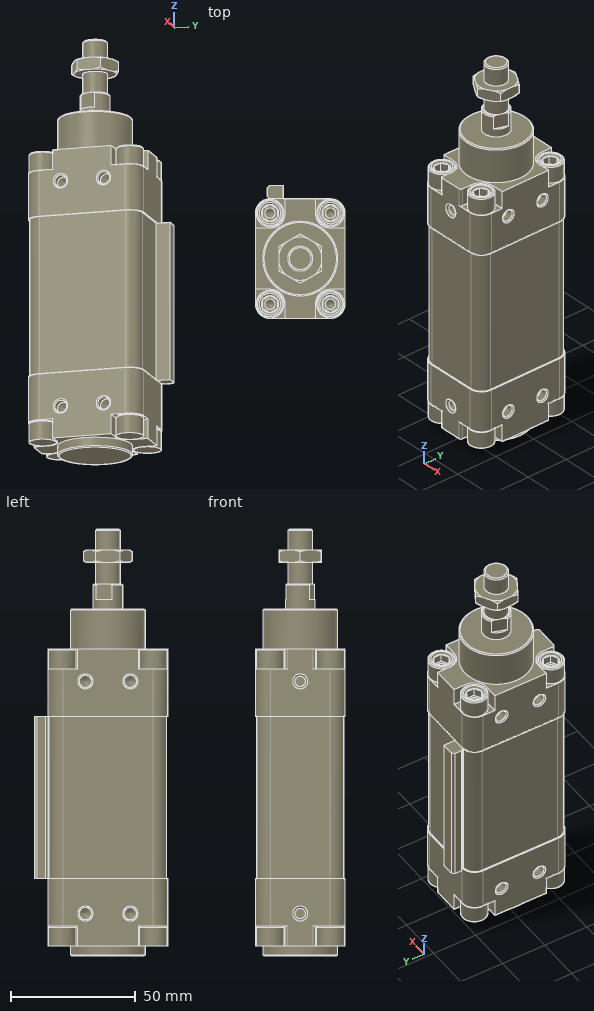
import cadquery as cq
import math

body_width = 36.0
body_length = 48.0
corner_radius = 6.0
tube_inset = 0.5

rear_collar_height = 4.0
cap_height = 27.0
tube_height = 65.0
front_collar_height = 16.0
rod_shank_height = 10.0
rod_thread_length = 22.0

collar_diameter = 30.0
collar_chamfer = 0.5

screw_x = 12.1
screw_y = 18.25
head_diameter = 11.05
head_chamfer = 0.5
pocket_depth = 8.0
pocket_radius = 6.0
pocket_edge_round = 0.9
socket_mouth_diameter = 8.6
socket_across_flats = 6.0
socket_depth = 4.5
socket_tip_diameter = 4.13

hole_to_tube = 14.0
hole_diameter = 6.0
port_core_diameter = 4.13
port_depth = 8.0
side_hole_spacing = 18.0
side_hole_core_diameter = 4.92
side_hole_depth = 4.0
drill_half_angle = math.radians(59)

rail_left = -13.3
rail_right = -6.8
rail_top = 29.3
rail_chamfer = 1.0
rail_underside = 24.0

rod_diameter = 12.0
thread_diameter = 10.0
thread_chamfer = 0.6
shoulder_chamfer = 0.5
flats_across = 10.0
flats_height = 6.3
flats_angle = 18.0
nut_across_flats = 17.0
nut_height = 5.0
nut_below_rod_end = 13.4
nut_chamfer_diameter = 17.4
nut_chamfer_angle = math.radians(30)

rear_face = rear_collar_height
tube_bottom = rear_face + cap_height
tube_top = tube_bottom + tube_height
front_face = tube_top + cap_height
front_collar_top = front_face + front_collar_height
shoulder = front_collar_top + rod_shank_height
rod_end = shoulder + rod_thread_length

corners = [(sx, sy) for sx in (-1, 1) for sy in (-1, 1)]


def rounded_block(width, length, radius, bottom, height):
    """Block centred on the axis with rounded vertical edges."""
    block = cq.Workplane("XY").workplane(offset=bottom).rect(width, length).extrude(height)
    return block.edges("|Z").fillet(radius)


def disc(diameter, bottom, height, x=0, y=0):
    """Upright cylinder standing at the given level."""
    return cq.Workplane("XY").workplane(offset=bottom).center(x, y).circle(diameter / 2).extrude(height)


def corner_pocket(sx, sy, bottom):
    """Recess in one corner of a cap, rounded around the screw head."""
    inner_x = screw_x - pocket_radius
    inner_y = screw_y - pocket_radius
    outer_x = body_width / 2
    outer_y = body_length / 2
    outline = (
        cq.Workplane("XY").workplane(offset=bottom)
        .moveTo(sx * outer_x, sy * inner_y)
        .lineTo(sx * screw_x, sy * inner_y)
        .radiusArc((sx * inner_x, sy * screw_y), sx * sy * pocket_radius)
    )
    if sy < 0:
        outline = (
            outline
            .lineTo(sx * inner_x, sy * (outer_y - pocket_edge_round))
            .radiusArc((sx * (inner_x - pocket_edge_round), sy * outer_y), sx * pocket_edge_round)
        )
    else:
        outline = outline.lineTo(sx * inner_x, sy * outer_y)
    return outline.lineTo(sx * outer_x, sy * outer_y).close().extrude(pocket_depth)


def screw_head(sx, sy, bottom):
    """Round screw head filling the depth of a corner pocket, chamfered at its top."""
    head = disc(head_diameter, bottom, pocket_depth, sx * screw_x, sy * screw_y)
    return head.faces(">Z").chamfer(head_chamfer)


def screw_socket(sx, sy, top):
    """Cutter for a countersunk hexagon socket ending in a cone."""
    x = sx * screw_x
    y = sy * screw_y
    hex_diameter = socket_across_flats / math.cos(math.pi / 6)
    mouth_depth = (socket_mouth_diameter - hex_diameter) / 2
    tip_depth = socket_tip_diameter / 2 / math.tan(drill_half_angle)
    socket = (
        cq.Workplane("XY").workplane(offset=top - socket_depth)
        .polygon(6, hex_diameter).extrude(socket_depth)
        .rotate((0, 0, 0), (0, 0, 1), 30).translate((x, y, 0))
    )
    up = cq.Vector(0, 0, 1)
    mouth = cq.Solid.makeCone(
        hex_diameter / 2, socket_mouth_diameter / 2, mouth_depth, cq.Vector(x, y, top - mouth_depth), up)
    tip = cq.Solid.makeCone(
        0, socket_tip_diameter / 2, tip_depth, cq.Vector(x, y, top - socket_depth - tip_depth), up)
    return socket.union(cq.Workplane(mouth)).union(cq.Workplane(tip))


def chamfered_hole(start, direction, core_diameter, depth, pointed):
    """Cutter for a blind hole with a 45 degree mouth, optionally ending in a drill point."""
    core_radius = core_diameter / 2
    mouth_radius = hole_diameter / 2
    tool = cq.Workplane(cq.Solid.makeCylinder(core_radius, depth, start, direction))
    mouth = cq.Solid.makeCone(mouth_radius, core_radius, mouth_radius - core_radius, start, direction)
    tool = tool.union(cq.Workplane(mouth))
    if pointed:
        tip_length = core_radius / math.tan(drill_half_angle)
        tip = cq.Solid.makeCone(core_radius, 0, tip_length, start + direction * depth, direction)
        tool = tool.union(cq.Workplane(tip))
    return tool


def sensor_rail():
    """Rail along the tube with its two left edges chamfered."""
    neck_left = rail_left + rail_chamfer
    return (
        cq.Workplane("XY").workplane(offset=tube_bottom)
        .moveTo(rail_right, body_length / 2 - 2 * tube_inset)
        .lineTo(rail_right, rail_top)
        .lineTo(neck_left, rail_top)
        .lineTo(rail_left, rail_top - rail_chamfer)
        .lineTo(rail_left, rail_underside + rail_chamfer)
        .lineTo(neck_left, rail_underside)
        .lineTo(neck_left, body_length / 2 - 2 * tube_inset)
        .close().extrude(tube_height)
    )


def make_housing():
    """Tube, both end caps, collars, screw heads and sensor rail."""
    tube_width = body_width - 2 * tube_inset
    tube_length = body_length - 2 * tube_inset
    housing = rounded_block(
        tube_width, tube_length, corner_radius - tube_inset, tube_bottom, tube_height)
    housing = housing.union(sensor_rail())
    for bottom in (rear_face, tube_top):
        housing = housing.union(
            rounded_block(body_width, body_length, corner_radius, bottom, cap_height))

    for pocket_bottom in (rear_face, front_face - pocket_depth):
        for sx, sy in corners:
            housing = housing.cut(corner_pocket(sx, sy, pocket_bottom))
            housing = housing.union(screw_head(sx, sy, pocket_bottom))
    for sx, sy in corners:
        housing = housing.cut(screw_socket(sx, sy, front_face))

    rear_collar = disc(collar_diameter, 0, rear_collar_height).faces("<Z").chamfer(collar_chamfer)
    front_collar = disc(collar_diameter, front_face, front_collar_height).faces(">Z").chamfer(collar_chamfer)
    housing = housing.union(rear_collar).union(front_collar)

    for z in (tube_bottom - hole_to_tube, tube_top + hole_to_tube):
        port_start = cq.Vector(0, -body_length / 2, z)
        housing = housing.cut(
            chamfered_hole(port_start, cq.Vector(0, 1, 0), port_core_diameter, port_depth, False))
        for side in (-1, 1):
            for row in (-1, 1):
                start = cq.Vector(side * body_width / 2, row * side_hole_spacing / 2, z)
                inward = cq.Vector(-side, 0, 0)
                housing = housing.cut(
                    chamfered_hole(start, inward, side_hole_core_diameter, side_hole_depth, True))
    return housing


def make_rod():
    """Stepped piston rod with two wrench flats below the shoulder."""
    shank = disc(rod_diameter, front_collar_top, rod_shank_height).faces(">Z").chamfer(shoulder_chamfer)
    thread = disc(thread_diameter, shoulder, rod_thread_length).faces(">Z").chamfer(thread_chamfer)
    flat_depth = (rod_diameter - flats_across) / 2
    flat_centre = (flats_across + flat_depth) / 2
    flats = (
        cq.Workplane("XY").workplane(offset=shoulder - flats_height)
        .pushPoints([(-flat_centre, 0), (flat_centre, 0)])
        .rect(flat_depth, rod_diameter).extrude(flats_height)
        .rotate((0, 0, 0), (0, 0, 1), -flats_angle)
    )
    return shank.cut(flats).union(thread)


def make_nut():
    """Hexagon lock nut with its corners chamfered on both faces."""
    corner_diameter = nut_across_flats / math.cos(math.pi / 6)
    bottom = rod_end - nut_below_rod_end
    drop = (corner_diameter - nut_chamfer_diameter) / 2 * math.tan(nut_chamfer_angle)
    blank = (
        cq.Workplane("XY").workplane(offset=bottom)
        .polygon(6, corner_diameter).extrude(nut_height)
        .rotate((0, 0, 0), (0, 0, 1), 30)
    )
    envelope = (
        cq.Workplane("XZ")
        .moveTo(thread_diameter / 2, bottom)
        .lineTo(nut_chamfer_diameter / 2, bottom)
        .lineTo(corner_diameter / 2, bottom + drop)
        .lineTo(corner_diameter / 2, bottom + nut_height - drop)
        .lineTo(nut_chamfer_diameter / 2, bottom + nut_height)
        .lineTo(thread_diameter / 2, bottom + nut_height)
        .close().revolve(360, (0, 0, 0), (0, 1, 0))
    )
    return blank.intersect(envelope)


housing = make_housing()
rod = make_rod()
nut = make_nut()

result = cq.Compound.makeCompound([body.solids().val() for body in (housing, rod, nut)])